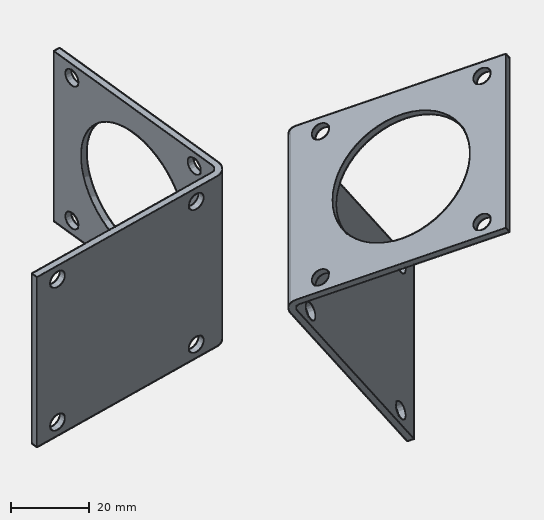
import cadquery as cq

side = 65.0
height = 56.0
thickness = 2.0
inner_bend_radius = 2.0
outer_bend_radius = inner_bend_radius + thickness
flat_length = side - outer_bend_radius

hole_spacing = 47.0
hole_diameter = 5.0
opening_diameter = 40.0
flat_center = flat_length / 2
cut_depth = 2 * thickness


def bent_sheet():
    """L-shaped sheet, with the two flanges meeting in the +X, +Y corner."""
    sheet = cq.Workplane("XY").rect(side, side).extrude(height)
    inside = (
        cq.Workplane("XY")
        .center(-thickness, -thickness)
        .rect(side, side)
        .extrude(height)
        .edges("|Z and >X and >Y")
        .fillet(inner_bend_radius)
    )
    rounded = sheet.edges("|Z and >X and >Y").fillet(outer_bend_radius)
    return rounded.cut(inside).translate((side / 2, -side / 2, 0))


def mounting_holes(plane):
    """Four cutters in a square about the middle of a flange."""
    return plane.rect(hole_spacing, hole_spacing, forConstruction=True).vertices().circle(
        hole_diameter / 2
    ).extrude(cut_depth, both=True)


back_plane = cq.Workplane("XZ", origin=(flat_center, 0, height / 2))
side_plane = cq.Workplane("YZ", origin=(side, flat_center - side, height / 2))
opening = back_plane.circle(opening_diameter / 2).extrude(cut_depth, both=True)

result = (
    bent_sheet()
    .cut(mounting_holes(back_plane))
    .cut(mounting_holes(side_plane))
    .cut(opening)
)